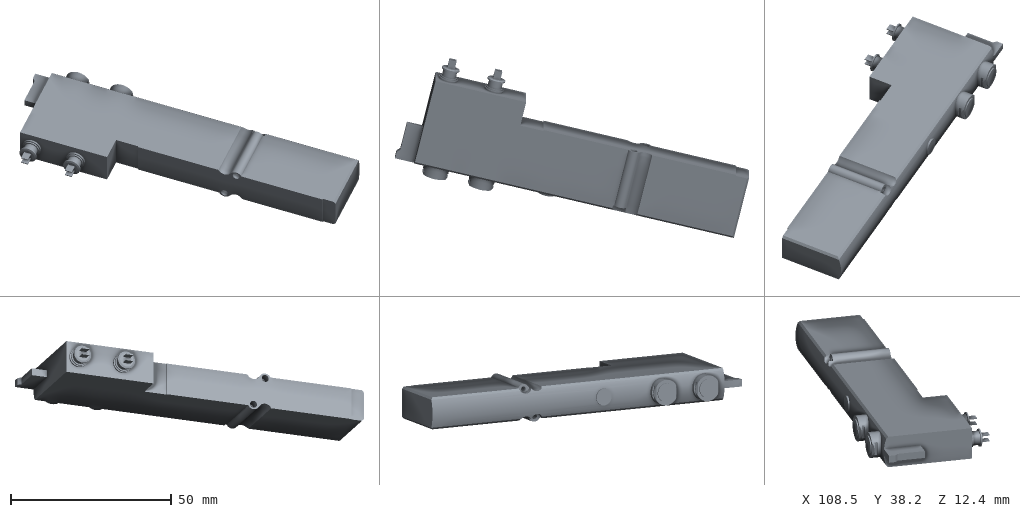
import cadquery as cq
import math

length = 108.5
body_left = 6.1
half_height = 5.1
head_right = 35.2
arm_front = 7.8
back_shoulder = 27.1
edge_chamfer = 0.7
back_crown = 28.5
front_pad_left = 42.5
front_pad_right = 104.3
front_pad_y = 7.5

tab_thickness = 2.3
tab_end_y = 16.7
tab_hook_y = 26.5
tab_step = 1.0

screw_middle_x = 73.5
screw_offset = 2.0
groove_radius = 4.5 / 2
groove_axis_rise = 1.0
boss_radius = 3.9 / 2
boss_height = 1.1
boss_back = 26.1
screw_hole_diameter = 2.3
screw_seat_axis_rise = 0.5
screw_bore_diameter = 1.6
screw_mouth_depth = 3.3
screw_axis_depth = 0.5

contact_x = 10.1
knob_x = 13.3
pitch = 14.6
knob_diameter = 8.1
knob_rim_y = 31.4
knob_cap_diameter = 6.1
knob_top_y = 31.7
knob_flat_top = 3.5
knob_flat_drop = 0.7
knob_slot_start = 29.6
knob_slot_end = 30.5
knob_slot_reach = 3.5

button_x = 48.5
button_diameter = 5.3
button_top_y = 28.9

collar_diameter = 6.1
collar_end = 0.5
shoulder_diameter = 5.3
shoulder_end = 1.0
stem_diameter = 4.5
flange_diameter = 5.6
flange_start = 3.3
flange_rim = 3.7
flange_end = 3.9
blade_width = 2.3
blade_thickness = 0.3
blade_spacing = 2.0
blade_end = 6.5


def cylinder_y(x, z, diameter, y_start, y_end):
    """Cylinder with its axis parallel to Y."""
    base = cq.Workplane("XZ", origin=(x, y_start, z))
    return base.circle(diameter / 2).extrude(y_start - y_end)


def make_body():
    outline = (
        cq.Workplane("XY", origin=(0, 0, -half_height))
        .moveTo(body_left, 0)
        .lineTo(head_right, 0)
        .lineTo(head_right, arm_front)
        .lineTo(front_pad_left, arm_front)
        .lineTo(front_pad_left, front_pad_y)
        .lineTo(front_pad_right, front_pad_y)
        .lineTo(front_pad_right, arm_front)
        .lineTo(length, arm_front)
        .lineTo(length, back_crown)
        .lineTo(body_left, back_crown)
        .close()
        .extrude(2 * half_height)
        .edges(">X and |Y")
        .chamfer(edge_chamfer)
    )
    back_half = half_height - edge_chamfer
    back_edge = back_shoulder + edge_chamfer
    section = (
        cq.Workplane("YZ")
        .moveTo(0, -half_height)
        .lineTo(back_shoulder, -half_height)
        .lineTo(back_edge, -back_half)
        .threePointArc((back_crown, 0), (back_edge, back_half))
        .lineTo(back_shoulder, half_height)
        .lineTo(0, half_height)
        .close()
        .extrude(length)
    )
    return outline.intersect(section)


def make_tab():
    return (
        cq.Workplane("XY", origin=(0, 0, -tab_thickness / 2))
        .moveTo(0, back_crown)
        .lineTo(0, tab_hook_y)
        .lineTo(tab_step, tab_hook_y - tab_step)
        .lineTo(tab_step, tab_end_y)
        .lineTo(body_left, tab_end_y)
        .lineTo(body_left, back_crown)
        .close()
        .extrude(tab_thickness)
    )


def turn_over(shape):
    """Half turn about the Y-parallel line midway between the screws."""
    return shape.rotate((screw_middle_x, 0, 0), (screw_middle_x, 1, 0), 180)


def make_channel(x, axis_rise, y_start):
    """Round channel along the top face, open to the back."""
    return cylinder_y(x, half_height + axis_rise, 2 * groove_radius, y_start, back_crown)


groove_x = screw_middle_x - screw_offset
groove_axis_z = half_height + groove_axis_rise
boss_x = screw_middle_x + screw_offset
boss_axis_z = half_height + boss_height - boss_radius

run = boss_x - groove_x
rise = groove_axis_z - boss_axis_z
flank_tilt = math.atan2(run, rise) - math.acos((groove_radius + boss_radius) / math.hypot(run, rise))
flank_foot = (
    groove_x + groove_radius * math.sin(flank_tilt),
    groove_axis_z - groove_radius * math.cos(flank_tilt),
)
flank_top = (
    boss_x - boss_radius * math.sin(flank_tilt),
    boss_axis_z + boss_radius * math.cos(flank_tilt),
)


def cut_groove(body):
    """Groove on the top face and its half-turned twin below, each opened up to the flank."""
    groove = make_channel(groove_x, groove_axis_rise, 0)
    flank_opening = (
        cq.Workplane("XZ")
        .polyline([(groove_x, groove_axis_z), flank_foot, flank_top])
        .close()
        .extrude(-back_crown)
    )
    groove = groove.union(flank_opening)
    return body.cut(groove).cut(turn_over(groove))


def make_boss():
    """Rounded ridge around the screw with a sloped flank down to the groove."""
    return (
        cq.Workplane("XZ", origin=(0, front_pad_y, 0))
        .moveTo(*flank_foot)
        .lineTo(*flank_top)
        .threePointArc((boss_x, half_height + boss_height), (boss_x + boss_radius, boss_axis_z))
        .lineTo(boss_x, boss_axis_z)
        .close()
        .extrude(front_pad_y - boss_back)
    )


def make_screw_hole():
    x = boss_x
    z = half_height - screw_axis_depth
    mouth = cylinder_y(x, z, screw_hole_diameter, front_pad_y, front_pad_y + screw_mouth_depth)
    bore = cylinder_y(x, z, screw_bore_diameter, front_pad_y, back_crown)
    head_seat = make_channel(x, screw_seat_axis_rise, boss_back)
    return mouth.union(bore).union(head_seat)


def make_knob(x):
    knob = cylinder_y(x, 0, knob_diameter, back_shoulder, knob_rim_y)
    radius = knob_diameter / 2
    flats = (
        cq.Workplane("XY", origin=(x, 0, -radius))
        .moveTo(-radius, back_shoulder)
        .lineTo(radius, back_shoulder)
        .lineTo(radius, knob_rim_y - knob_flat_drop)
        .lineTo(knob_flat_top, knob_rim_y)
        .lineTo(-knob_flat_top, knob_rim_y)
        .lineTo(-radius, knob_rim_y - knob_flat_drop)
        .close()
        .extrude(knob_diameter)
    )
    cap = cylinder_y(x, 0, knob_cap_diameter, back_shoulder, knob_top_y)
    knob = knob.intersect(flats).union(cap)
    slot_y = (knob_slot_start + knob_slot_end) / 2
    slot_height = knob_slot_end - knob_slot_start
    for side in (-1, 1):
        slot = cq.Workplane("XY").box(radius, slot_height, knob_diameter)
        knob = knob.cut(slot.translate((x + side * (knob_slot_reach + radius / 2), slot_y, 0)))
    return knob


def make_contact(x):
    turned = (
        cq.Workplane("XY")
        .lineTo(collar_diameter / 2, 0)
        .lineTo(collar_diameter / 2, -collar_end)
        .lineTo(shoulder_diameter / 2, -collar_end)
        .lineTo(shoulder_diameter / 2, -shoulder_end)
        .lineTo(stem_diameter / 2, -shoulder_end)
        .lineTo(stem_diameter / 2, -flange_start)
        .lineTo(flange_diameter / 2, -flange_start)
        .lineTo(flange_diameter / 2, -flange_rim)
        .lineTo(stem_diameter / 2, -flange_end)
        .lineTo(0, -flange_end)
        .close()
        .revolve(360, (0, 0, 0), (0, 1, 0))
    )
    for side in (-1, 1):
        blade = cq.Workplane("XY").box(blade_width, blade_end - flange_start, blade_thickness)
        middle_y = -(blade_end + flange_start) / 2
        turned = turned.union(blade.translate((0, middle_y, side * blade_spacing / 2)))
    return turned.translate((x, 0, 0))


result = cut_groove(make_body()).union(make_tab())

boss = make_boss()
screw_hole = make_screw_hole()
result = result.union(boss).union(turn_over(boss))
result = result.cut(screw_hole).cut(turn_over(screw_hole))

for step in (0, pitch):
    result = result.union(make_knob(knob_x + step))
    result = result.union(make_contact(contact_x + step))

result = result.union(cylinder_y(button_x, 0, button_diameter, back_shoulder, button_top_y))